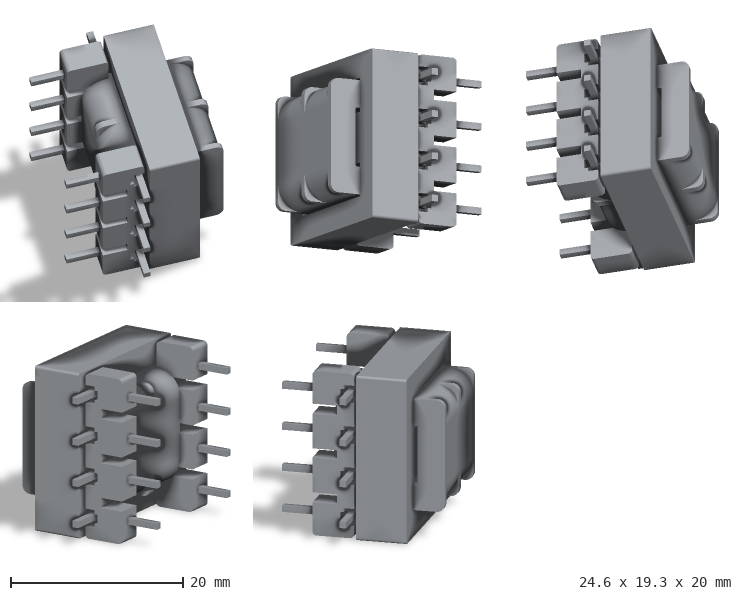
import cadquery as cq

SIDES = (-1, 1)

core_side = 20.0
core_depth = 6.05
core_yoke = 3.0
core_leg = 2 * core_yoke
core_corner_radius = 0.3
core_window = core_side - 2 * core_yoke

tunnel_side = 6.99
tunnel_corner_radius = 0.2
tube_wall = 0.7
tube_side = tunnel_side + 2 * tube_wall
flange_side = 13.53
flange_corner_radius = 0.98
bobbin_length = 13.55
end_flange_thickness = 0.7
middle_flange_thickness = 0.79
flange_inner_x = bobbin_length / 2 - end_flange_thickness

winding_length = flange_inner_x - middle_flange_thickness / 2
winding_center_x = (flange_inner_x + middle_flange_thickness / 2) / 2
winding_corner_radius = 3.0

block_width = 3.2
block_depth = 5.0
block_height = core_side
block_edge_radius = 0.5
block_outer_x = flange_inner_x + block_width
block_center_x = flange_inner_x + block_width / 2
block_back_y = -tunnel_side / 2
block_front_y = block_back_y - block_depth

slot_floor_y = -5.5
slot_depth = slot_floor_y - block_front_y
outer_slot_z = 5.39
outer_slot_height = 1.23
middle_slot_height = 1.13

pin_count = 4
pin_pitch = 5.0
pin_thickness = 0.79
pin_bend_radius = 0.6
pin_tip_x = 12.3
pin_leg_x = 7.58
pin_arm_y = -4.0
pin_tip_length = 4.0
pin_tip_y = block_front_y - pin_tip_length
pin_heights = [(i - (pin_count - 1) / 2) * pin_pitch for i in range(pin_count)]

pocket_height = 2.16
pocket_depth = 1.23
pocket_step_height = 1.2
pocket_step_depth = 1.67
pocket_floor_x = pin_leg_x


def box(size_x, size_y, size_z, center):
    return cq.Workplane("XY").box(size_x, size_y, size_z).translate(center)


def square_plate(length, side, corner_radius, center_x):
    """Square across Y and Z with rounded corners, extended along X."""
    plate = box(length, side, side, (center_x, 0, 0))
    return plate.edges("|X").fillet(corner_radius)


def make_core():
    frame = box(core_side, core_depth, core_side, (0, 0, 0))
    frame = frame.edges("|Y").fillet(core_corner_radius)
    window = box(core_window, core_depth, core_window, (0, 0, 0))
    leg = box(core_window, core_depth, core_leg, (0, 0, 0))
    return frame.cut(window).union(leg)


def make_spool():
    """Tube and flanges, before the tunnel is cut."""
    spool = box(bobbin_length, tube_side, tube_side, (0, 0, 0))
    spool = spool.union(square_plate(middle_flange_thickness, flange_side, flange_corner_radius, 0))
    flange_center_x = flange_inner_x + end_flange_thickness / 2
    for side in SIDES:
        flange = square_plate(end_flange_thickness, flange_side, flange_corner_radius, side * flange_center_x)
        spool = spool.union(flange)
    return spool


def make_block(side):
    block_center_y = (block_back_y + block_front_y) / 2
    block = box(block_width, block_depth, block_height, (side * block_center_x, block_center_y, 0))
    return block.edges("|X").fillet(block_edge_radius)


def make_slots(side):
    """Cutters that pass through a block and the flange behind it."""
    slot_center_y = (slot_floor_y + block_front_y) / 2
    slots = cq.Workplane("XY")
    for z, height in (
        (-outer_slot_z, outer_slot_height),
        (0, middle_slot_height),
        (outer_slot_z, outer_slot_height),
    ):
        slots = slots.add(box(block_width, slot_depth, height, (side * block_center_x, slot_center_y, z)))
    return slots.combine()


def make_pocket(side, z):
    length = block_outer_x - pocket_floor_x
    center_x = side * (block_outer_x + pocket_floor_x) / 2
    wide_center_y = block_back_y - pocket_depth / 2
    step_center_y = block_back_y - pocket_step_depth / 2
    wide = box(length, pocket_depth, pocket_height, (center_x, wide_center_y, z))
    step = box(length, pocket_step_depth, pocket_step_height, (center_x, step_center_y, z))
    return wide.union(step)


def make_pin(side, z):
    half = pin_thickness / 2
    inner_x = pin_leg_x + half
    inner_y = pin_arm_y - half
    pin = (
        cq.Workplane("XY")
        .moveTo(pin_leg_x - half, pin_arm_y + half)
        .lineTo(pin_tip_x, pin_arm_y + half)
        .lineTo(pin_tip_x, inner_y)
        .lineTo(inner_x + pin_bend_radius, inner_y)
        .radiusArc((inner_x, inner_y - pin_bend_radius), -pin_bend_radius)
        .lineTo(inner_x, pin_tip_y)
        .lineTo(pin_leg_x - half, pin_tip_y)
        .close()
        .extrude(half, both=True)
        .translate((0, 0, z))
    )
    return pin if side > 0 else pin.mirror("YZ")


def make_bobbin():
    bobbin = make_spool()
    for side in SIDES:
        bobbin = bobbin.union(make_block(side)).cut(make_slots(side))
        for z in pin_heights:
            bobbin = bobbin.cut(make_pocket(side, z)).union(make_pin(side, z))
    tunnel = square_plate(bobbin_length, tunnel_side, tunnel_corner_radius, 0)
    return bobbin.cut(tunnel)


def make_winding(side):
    center_x = side * winding_center_x
    coil = square_plate(winding_length, flange_side, winding_corner_radius, center_x)
    return coil.cut(box(winding_length, tube_side, tube_side, (center_x, 0, 0)))


core = make_core()
bobbin = make_bobbin()
windings = [make_winding(side) for side in SIDES]

result = cq.Compound.makeCompound([core.val(), bobbin.val(), *[winding.val() for winding in windings]])